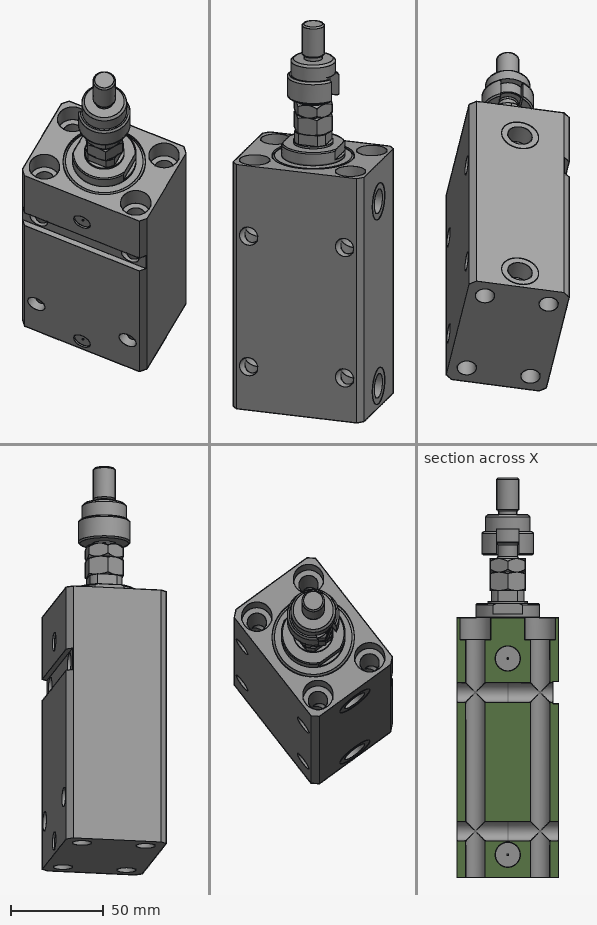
import cadquery as cq
import math

TOTAL_HEIGHT = 216.0
LENGTH = 75.0
WIDTH = 55.0
BLOCK_TOP = 140.5
CORNER_X = 3.0
CORNER_Y = 3.5

GROOVE_BOTTOM = 94.0
GROOVE_TOP = 105.8
GROOVE_DEPTH = 3.0

BOLT_RADIUS = 5.2
BOLT_X = 27.5
BOLT_Y = 17.5
CROSS_BOLT_HEIGHTS = (25.0, 100.0)
COUNTERBORE_RADIUS = 8.2
COUNTERBORE_DEPTH = 11.9

PORT_RADIUS = 6.7
PORT_DEPTH = 11.5
PORT_SPOT_RADIUS = 10.2
PORT_SPOT_DEPTH = 0.2
PORT_HEIGHTS = (12.3, 118.4)
VENT_RADIUS = 5.0
VENT_DEPTH = 1.0
VENT_HEIGHTS = (7.3, 118.4)
CENTER_MARK_RADIUS = 0.5
CENTER_MARK_DEPTH = 0.6

GLAND_RADIUS = 22.2
GLAND_CHAMFER = 1.3
GLAND_DEPTH = 10.8

SHAFT_RADIUS = 10.8
FLANGE_RADIUS = 17.3
FLANGE_EDGE = 0.6
FLANGE_FLAT_X = 15.3
FLANGE_FLAT_BOTTOM = 142.3
FLANGE_TOP = 148.0
COLLAR_TOP = 149.0
NECK_RADIUS = 10.4
NECK_ACROSS_FLATS = 17.7
HEX_BOTTOM = 155.0
HEX_TOP = 165.0
HEX_ACROSS_FLATS = 19.0
HEX_CHAMFER_HEIGHT = 0.9
HEX_CHAMFER_INSET = 1.5
STUD_RADIUS = 5.8
STUD_FLARE = 0.5
STUD_FLARE_HEIGHT = 1.0
HEAD_RADIUS = 9.0
HEAD_EDGE = 0.5
HEAD_BOTTOM = 180.8
HEAD_TOP = 188.4

NUT_TOP = 172.4
NUT_CHAMFER_HEIGHT = 1.5
NUT_COUNTERSINK = 0.9

SLEEVE_BOTTOM = 174.3
SLEEVE_TOP = 187.0
SLEEVE_RADIUS = 14.0
SLEEVE_TOP_EDGE = 1.0
SLEEVE_BOTTOM_EDGE = 0.9
CAP_RADIUS = 12.0
CAP_TOP = 196.1
CAP_EDGE = 1.3
SLOT_WIDTH = 12.0
UNDERCUT_RADIUS = 5.0
THREAD_BOTTOM = 198.0
THREAD_RADIUS = 6.0
THREAD_EDGE = 0.9


def cylinder(radius, bottom, top):
    return cq.Workplane("XY").workplane(offset=bottom).circle(radius).extrude(top - bottom)


def blind_hole(radius, depth, start, direction):
    """A flat-bottomed hole with a small center mark in its floor, as a body to cut away."""
    bore = cq.Solid.makeCylinder(radius, depth, start, direction)
    mark = cq.Solid.makeCylinder(CENTER_MARK_RADIUS, depth + CENTER_MARK_DEPTH, start, direction)
    return cq.Workplane(bore.fuse(mark))


def hexagon(bottom, top, chamfer_height):
    """A hexagonal prism with corners on the X axis and both ends chamfered round."""
    corner_radius = HEX_ACROSS_FLATS / math.sqrt(3)
    prism = (
        cq.Workplane("XY").workplane(offset=bottom)
        .polygon(6, 2 * corner_radius).extrude(top - bottom)
    )
    end_radius = corner_radius - HEX_CHAMFER_INSET
    rounding = (
        cq.Workplane("XZ")
        .polyline([
            (0, bottom), (end_radius, bottom), (corner_radius, bottom + chamfer_height),
            (corner_radius, top - chamfer_height), (end_radius, top), (0, top),
        ])
        .close().revolve(360, (0, 0), (0, 1))
    )
    return prism.intersect(rounding)


def make_housing():
    half_x = LENGTH / 2
    half_y = WIDTH / 2
    block = (
        cq.Workplane("XY")
        .polyline([
            (-half_x + CORNER_X, -half_y), (half_x - CORNER_X, -half_y),
            (half_x, -half_y + CORNER_Y), (half_x, half_y - CORNER_Y),
            (half_x - CORNER_X, half_y), (-half_x + CORNER_X, half_y),
            (-half_x, half_y - CORNER_Y), (-half_x, -half_y + CORNER_Y),
        ])
        .close().extrude(BLOCK_TOP)
    )

    groove = cq.Workplane("XY").box(
        LENGTH, GROOVE_DEPTH, GROOVE_TOP - GROOVE_BOTTOM, centered=(True, False, False)
    )
    block = block.cut(groove.translate((0, -half_y, GROOVE_BOTTOM)))

    block = (
        block.faces(">Z").workplane(origin=(0, 0, BLOCK_TOP))
        .rect(2 * BOLT_X, 2 * BOLT_Y, forConstruction=True).vertices()
        .cboreHole(2 * BOLT_RADIUS, 2 * COUNTERBORE_RADIUS, COUNTERBORE_DEPTH)
    )
    cross_points = [(x, z) for x in (-BOLT_X, BOLT_X) for z in CROSS_BOLT_HEIGHTS]
    cross_holes = cq.Workplane("XZ").pushPoints(cross_points).circle(BOLT_RADIUS).extrude(WIDTH, both=True)
    block = block.cut(cross_holes)

    for height in PORT_HEIGHTS:
        start = cq.Vector(-half_x, 0, height)
        inward = cq.Vector(1, 0, 0)
        block = block.cut(blind_hole(PORT_RADIUS, PORT_DEPTH, start, inward))
        spot_face = cq.Solid.makeCylinder(PORT_SPOT_RADIUS, PORT_SPOT_DEPTH, start, inward)
        block = block.cut(cq.Workplane(spot_face))

    for height in VENT_HEIGHTS:
        start = cq.Vector(0, -half_y, height)
        block = block.cut(blind_hole(VENT_RADIUS, VENT_DEPTH, start, cq.Vector(0, 1, 0)))

    return block.cut(cylinder(GLAND_RADIUS, BLOCK_TOP - GLAND_DEPTH, BLOCK_TOP))


def make_gland():
    gland = cylinder(GLAND_RADIUS, BLOCK_TOP - GLAND_DEPTH, BLOCK_TOP).faces(">Z").chamfer(GLAND_CHAMFER)
    return gland.cut(cylinder(SHAFT_RADIUS, BLOCK_TOP - GLAND_DEPTH, BLOCK_TOP))


def make_rod():
    shaft = cylinder(SHAFT_RADIUS, BLOCK_TOP - GLAND_DEPTH, COLLAR_TOP)
    flange = cylinder(FLANGE_RADIUS, BLOCK_TOP, FLANGE_TOP).faces(">Z").chamfer(FLANGE_EDGE)
    flange = flange.faces("<Z").edges().fillet(FLANGE_EDGE)
    flat_stock = cq.Workplane("XY").box(
        2 * FLANGE_FLAT_X, 2 * FLANGE_RADIUS, FLANGE_TOP - FLANGE_FLAT_BOTTOM, centered=(True, True, False)
    ).translate((0, 0, FLANGE_FLAT_BOTTOM))
    flange = flange.intersect(flat_stock.union(cylinder(FLANGE_RADIUS, BLOCK_TOP, FLANGE_FLAT_BOTTOM)))

    neck = cylinder(NECK_RADIUS, COLLAR_TOP, HEX_BOTTOM).intersect(
        cq.Workplane("XY").workplane(offset=COLLAR_TOP)
        .rect(NECK_ACROSS_FLATS, NECK_ACROSS_FLATS).extrude(HEX_BOTTOM - COLLAR_TOP)
    )
    hexagonal_end = hexagon(HEX_BOTTOM, HEX_TOP, HEX_CHAMFER_HEIGHT)

    waist_radius = STUD_RADIUS - STUD_FLARE
    stud = (
        cq.Workplane("XZ")
        .polyline([
            (0, HEX_TOP), (STUD_RADIUS, HEX_TOP), (STUD_RADIUS, NUT_TOP),
            (waist_radius, NUT_TOP + STUD_FLARE_HEIGHT),
            (waist_radius, HEAD_BOTTOM - STUD_FLARE_HEIGHT),
            (STUD_RADIUS, HEAD_BOTTOM), (0, HEAD_BOTTOM),
        ])
        .close().revolve(360, (0, 0), (0, 1))
    )
    head = cylinder(HEAD_RADIUS, HEAD_BOTTOM, HEAD_TOP).faces("<Z").chamfer(HEAD_EDGE)
    return shaft.union(flange).union(neck).union(hexagonal_end).union(stud).union(head)


def make_nut():
    nut = hexagon(HEX_TOP, NUT_TOP, NUT_CHAMFER_HEIGHT).cut(cylinder(STUD_RADIUS, HEX_TOP, NUT_TOP))
    bore_edges = nut.faces("<Z or >Z").edges("%CIRCLE").edges(cq.selectors.RadiusNthSelector(0))
    return bore_edges.chamfer(NUT_COUNTERSINK)


def make_coupling():
    sleeve = cylinder(SLEEVE_RADIUS, SLEEVE_BOTTOM, SLEEVE_TOP).faces(">Z").chamfer(SLEEVE_TOP_EDGE)
    sleeve = sleeve.faces("<Z").chamfer(SLEEVE_BOTTOM_EDGE)
    cap = cylinder(CAP_RADIUS, SLEEVE_TOP, CAP_TOP).faces(">Z").chamfer(CAP_EDGE)
    undercut = cylinder(UNDERCUT_RADIUS, CAP_TOP, THREAD_BOTTOM)
    thread = cylinder(THREAD_RADIUS, THREAD_BOTTOM, TOTAL_HEIGHT).faces("<Z or >Z").chamfer(THREAD_EDGE)
    body = sleeve.union(cap).union(undercut).union(thread)

    slot_height = HEAD_TOP - SLEEVE_BOTTOM
    slot = cq.Workplane("XY").box(
        SLEEVE_RADIUS, SLOT_WIDTH, slot_height, centered=(False, True, False)
    ).translate((-SLEEVE_RADIUS, 0, SLEEVE_BOTTOM))
    slot_end = cylinder(SLOT_WIDTH / 2, SLEEVE_BOTTOM, HEAD_TOP)
    return body.cut(slot).cut(slot_end).cut(cylinder(HEAD_RADIUS, HEAD_BOTTOM, HEAD_TOP))


housing = make_housing()
gland = make_gland()
rod = make_rod()
lock_nut = make_nut()
coupling = make_coupling()

result = cq.Compound.makeCompound(
    [housing.val(), gland.val(), rod.val(), lock_nut.val(), coupling.val()]
)